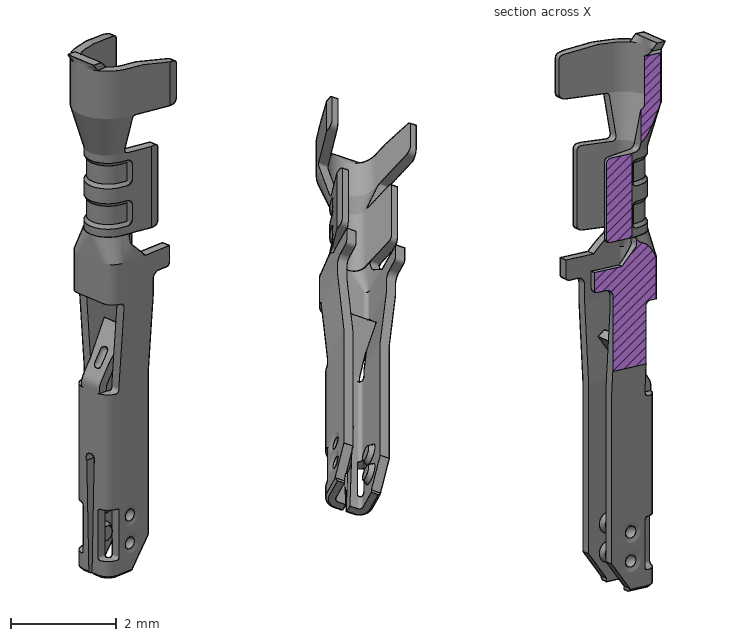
import cadquery as cq
import math

SHEET = 0.19
TALL = 3.0
CLEAR = 2.0

Z_NOSE_START = 0.07
Z_NOSE_END = 0.64
Z_FLOOR_END = 3.83
Z_CONTACT = 4.05
Z_BEAM = 5.64
Z_BOX_FLOOR = 5.74
Z_STOP_LOW = 6.13
Z_STOP_TOP = 6.55
Z_BOX = 6.58
Z_NECK = 6.89
Z_WIRE_LOW = 7.07
Z_WIRE_TOP = 8.76
Z_INS_LOW = 9.64
Z_INS_TOP = 10.64
Z_END = 10.78

CORNER = 0.27
BOX_HALF = 0.60
CONTACT_HALF = 0.47
BOX = {"bottom": 0.0, "flat": BOX_HALF - CORNER, "radius": CORNER, "angle": 0.0}
CONTACT = {"bottom": 0.0, "flat": CONTACT_HALF - CORNER, "radius": CORNER, "angle": 0.0}
ARM_ANGLE = 12.5
WIRE = {"bottom": 0.01, "flat": 0.0, "radius": 0.46, "angle": ARM_ANGLE}
WIRE_SPLIT = dict(WIRE, flat=0.01)
INSULATION = {"bottom": -0.255, "flat": 0.0, "radius": 0.705, "angle": ARM_ANGLE}

Y_WALL_LOW = 0.30
Y_WALL = 1.08
Y_NOSE = 0.66
Y_STOP = 1.515
Y_NECK = 0.53
Y_NECK_LOW_END = 0.87
Y_WIRE = 1.235
Y_FUNNEL = 0.43
Y_INS_SLOPE = 0.65
Y_INS = 1.435
INS_SLOPE_DROP = 0.12

BEVEL_LENGTH = 0.2
BEVEL_DEPTH = 0.07

GROOVE_CENTERS = (7.5, 8.34)
GROOVE_WIDTH = 0.53
GROOVE_RAMP = 0.075
GROOVE_DEPTH = 0.05
GROOVE_TOP = 0.62
GROOVE_CORNER = 0.12

TIP_CHAMFER = 0.05
WINDOW_LOW = 0.365
WINDOW_TOP = 1.43
WINDOW_ROUND = 0.06
FLOOR_WINDOW_ROUND = 0.09
KEYHOLE_RADIUS = 0.115
KEYHOLE_Z = 2.40
SLOT_HALF_TOP = 0.10
SLOT_HALF_TIP = 0.042
DIMPLE_Y = 0.615
DIMPLE_CENTERS = (0.60, 1.18)
DIMPLE_RIM = 0.215
DIMPLE_RADIUS = 0.12
DIMPLE_RIM_DEPTH = 0.03
BUMP_RADIUS = 0.15
BUMP_HEIGHT = 0.10

LANCE_HALF_ROOT = 0.24
LANCE_HALF_END = 0.315
LANCE_BEND_Z = 4.00
LANCE_TAPER_Z = 4.37
LANCE_END_Z = 5.03
LANCE_ANGLE = 33.5
LANCE_BEND_RADIUS = 0.28
POCKET_WIDTH = 0.18
POCKET_LENGTH = 0.44
POCKET_Z = 4.425

TAB_HALF = 0.35


def inset(section, depth):
    """The same section moved inwards by a depth."""
    return dict(section, bottom=section["bottom"] + depth, radius=section["radius"] - depth)


def tangent_point(section):
    """Where the arc meets the straight arm."""
    tilt = math.radians(section["angle"])
    x = section["flat"] + section["radius"] * math.cos(tilt)
    y = section["bottom"] + section["radius"] * (1 - math.sin(tilt))
    return x, y


def arm_x(section, y):
    """X of the straight arm's face at height y."""
    x0, y0 = tangent_point(section)
    return x0 + (y - y0) * math.tan(math.radians(section["angle"]))


def trough(plane, section):
    """Closed U outline on a workplane normal to Z."""
    flat, bottom, radius = section["flat"], section["bottom"], section["radius"]
    x, y = tangent_point(section)
    tip = arm_x(section, TALL)
    outline = plane.moveTo(tip, TALL).lineTo(x, y)
    if flat == 0:
        outline = outline.threePointArc((0, bottom), (-x, y))
    else:
        middle = math.radians(45 + section["angle"] / 2)
        mid_x = flat + radius * math.cos(middle)
        mid_y = bottom + radius * (1 - math.sin(middle))
        outline = outline.threePointArc((mid_x, mid_y), (flat, bottom)).lineTo(-flat, bottom)
        outline = outline.threePointArc((-mid_x, mid_y), (-x, y))
    return outline.lineTo(-tip, TALL).close()


def at_z(z):
    return cq.Workplane("XY").workplane(offset=z)


def solid_trough(section, low, high):
    return trough(at_z(low), section).extrude(high - low)


def solid_loft(low_section, high_section, low, high):
    plane = trough(at_z(low), low_section).workplane(offset=high - low)
    return trough(plane, high_section).loft(ruled=True)


def channel(section, low, high):
    """Bent sheet of constant section."""
    return solid_trough(section, low, high).cut(solid_trough(inset(section, SHEET), low, high))


def lofted_channel(low_section, high_section, low, high):
    """Bent sheet changing from one section to another."""
    outside = solid_loft(low_section, high_section, low, high)
    return outside.cut(solid_loft(inset(low_section, SHEET), inset(high_section, SHEET), low, high))


def block(x, y, z):
    """Box from (low, high) pairs."""
    size = (x[1] - x[0], y[1] - y[0], z[1] - z[0])
    return cq.Workplane("XY").box(*size, centered=False).translate((x[0], y[0], z[0]))


def both_sides(body):
    return body.union(body.mirror("YZ"))


def side_prism(points, half_width):
    """Outline in (Y, Z) spread evenly about X = 0."""
    return cq.Workplane("YZ").polyline(points).close().extrude(half_width, both=True)


def rounded(prism, y, z, radius):
    """Round the edge of a side prism that passes (y, z)."""
    edge = prism.edges("|X").edges(cq.NearestToPointSelector((0, y, z)))
    return edge.fillet(radius)


def side_outline():
    """Everything the arms may reach, as seen along X."""
    below = -CLEAR
    shoulder_z = Z_INS_TOP - INS_SLOPE_DROP
    prism = side_prism(
        [
            (below, 0), (Y_NOSE, 0), (Y_NOSE, Z_NOSE_START), (Y_WALL, Z_NOSE_END),
            (Y_WALL, Z_STOP_LOW), (Y_STOP, Z_STOP_LOW), (Y_STOP, Z_STOP_TOP),
            (Y_NECK_LOW_END, Z_STOP_TOP), (Y_NECK, Z_NECK), (Y_NECK, Z_WIRE_LOW),
            (Y_WIRE, Z_WIRE_LOW), (Y_WIRE, Z_WIRE_TOP), (Y_FUNNEL, Z_WIRE_TOP),
            (Y_FUNNEL, Z_INS_LOW), (Y_INS, Z_INS_LOW), (Y_INS, shoulder_z),
            (Y_INS_SLOPE, Z_INS_TOP), (below, Z_INS_TOP),
        ],
        CLEAR,
    )
    corners = [
        (Y_WALL, Z_STOP_LOW, 0.15), (Y_STOP, Z_STOP_LOW, 0.08), (Y_NECK, Z_NECK, 0.1),
        (Y_NECK, Z_WIRE_LOW, 0.05), (Y_WIRE, Z_WIRE_LOW, 0.1), (Y_WIRE, Z_WIRE_TOP, 0.1),
        (Y_FUNNEL, Z_WIRE_TOP, 0.1), (Y_FUNNEL, Z_INS_LOW, 0.05), (Y_INS, Z_INS_LOW, 0.12),
        (Y_INS, shoulder_z, 0.1),
    ]
    for y, z, radius in corners:
        prism = rounded(prism, y, z, radius)
    return prism


def tip_bevels(section, top, low, high):
    """Wedges that thin the outer face of both arm tips."""
    start = top - BEVEL_LENGTH
    points = [
        (arm_x(section, start), start), (arm_x(section, top) - BEVEL_DEPTH, top),
        (CLEAR, top), (CLEAR, start),
    ]
    return both_sides(at_z(low).polyline(points).close().extrude(high - low))


def groove_core(plane, depth):
    """Wire barrel outline pressed in by a depth, ramping back to the skin at the groove's end."""
    pressed = inset(WIRE, depth)
    x, y = tangent_point(pressed)
    ramp_y = GROOVE_TOP - GROOVE_RAMP
    half = [
        (arm_x(WIRE, TALL), TALL), (arm_x(WIRE, GROOVE_TOP), GROOVE_TOP),
        (arm_x(pressed, ramp_y), ramp_y), (x, y),
    ]
    mirrored = [(-px, py) for px, py in reversed(half)]
    outline = plane.polyline(half).threePointArc((0, pressed["bottom"]), (-x, y))
    for point in mirrored[1:]:
        outline = outline.lineTo(*point)
    return outline.close()


def groove(center):
    """Shallow band with ramped walls, pressed into the outside of the wire barrel."""
    half = GROOVE_WIDTH / 2
    low, high = center - half, center + half
    floor_low, floor_high = low + GROOVE_RAMP, high - GROOVE_RAMP
    core = groove_core(at_z(floor_low), GROOVE_DEPTH).extrude(floor_high - floor_low)
    for edge_z, floor_z in ((low, floor_low), (high, floor_high)):
        plane = groove_core(at_z(edge_z), 0).workplane(offset=floor_z - edge_z)
        core = core.union(groove_core(plane, GROOVE_DEPTH).loft(ruled=True))
    band = side_prism([(-CLEAR, low), (GROOVE_TOP, low), (GROOVE_TOP, high), (-CLEAR, high)], CLEAR)
    for z in (low, high):
        band = rounded(band, GROOVE_TOP, z, GROOVE_CORNER)
    return band.cut(core)


def wire_barrel():
    barrel = channel(WIRE, Z_WIRE_LOW, Z_WIRE_TOP)
    barrel = barrel.cut(tip_bevels(WIRE, Y_WIRE, Z_WIRE_LOW, Z_WIRE_TOP))
    for center in GROOVE_CENTERS:
        barrel = barrel.cut(groove(center))
    return barrel


def insulation_barrel():
    barrel = channel(INSULATION, Z_INS_LOW, Z_INS_TOP)
    return barrel.cut(tip_bevels(INSULATION, Y_INS, Z_INS_LOW, Z_INS_TOP))


def cutoff_tab():
    """Short tab that flattens from the barrel's arc to a plain rectangle."""
    bottom, radius = INSULATION["bottom"], INSULATION["radius"]
    center = bottom + radius
    inner = radius - SHEET
    outer_y = center - math.sqrt(radius**2 - TAB_HALF**2)
    inner_y = center - math.sqrt(inner**2 - TAB_HALF**2)
    root = (
        at_z(Z_INS_TOP)
        .moveTo(-TAB_HALF, outer_y)
        .threePointArc((0, bottom), (TAB_HALF, outer_y))
        .lineTo(TAB_HALF, inner_y)
        .threePointArc((0, bottom + SHEET), (-TAB_HALF, inner_y))
        .close()
    )
    end = root.workplane(offset=Z_END - Z_INS_TOP)
    end = end.moveTo(-TAB_HALF, bottom).lineTo(TAB_HALF, bottom)
    end = end.lineTo(TAB_HALF, bottom + SHEET).lineTo(-TAB_HALF, bottom + SHEET).close()
    return end.loft(ruled=True)


def floor_window():
    """Opening in the floor from the contact section to the box section."""
    window = block((-CLEAR, CLEAR), (-CLEAR, Y_WALL_LOW), (Z_FLOOR_END, Z_BOX_FLOOR))
    return window.edges("|X and >Y").fillet(FLOOR_WINDOW_ROUND)


def box_section():
    return channel(BOX, Z_BEAM, Z_BOX).cut(floor_window())


def beams():
    """Walls converging from the box section to the contact section."""
    points = [
        (CONTACT_HALF, Z_CONTACT), (BOX_HALF, Z_BEAM),
        (BOX_HALF - SHEET, Z_BEAM), (CONTACT_HALF - SHEET, Z_CONTACT),
    ]
    beam = cq.Workplane("XZ", origin=(0, Y_WALL_LOW, 0)).polyline(points).close()
    return both_sides(beam.extrude(Y_WALL_LOW - Y_WALL))


def corner_window():
    """Opening through the bent corner, with rounded ends in the wall and in the floor."""
    flat = CONTACT["flat"]
    window = block((flat, CLEAR), (-CLEAR, Y_WALL_LOW), (WINDOW_LOW, WINDOW_TOP))
    window = window.edges("|X and >Y").fillet(WINDOW_ROUND)
    return both_sides(window.edges("|Y and <X").fillet(WINDOW_ROUND))


def keyhole_slot():
    """Slot splitting the floor, closing towards the tip and ending in a round hole."""
    points = [
        (SLOT_HALF_TIP, 0), (SLOT_HALF_TOP, KEYHOLE_Z),
        (-SLOT_HALF_TOP, KEYHOLE_Z), (-SLOT_HALF_TIP, 0),
    ]
    cut_depth = 1.5 * SHEET
    slot = cq.Workplane("XZ").polyline(points).close().extrude(-cut_depth)
    hole = cq.Workplane("XZ").center(0, KEYHOLE_Z).circle(KEYHOLE_RADIUS).extrude(-cut_depth)
    return slot.union(hole)


def turned_in_wall(profile, z):
    """Outline of (radius, depth below the outer wall face) turned about a dimple axis."""
    turned = profile.close().revolve(360, (0, 0), (0, 1)).rotate((0, 0, 0), (0, 0, 1), 90)
    return both_sides(turned.translate((CONTACT_HALF, DIMPLE_Y, z)))


def bump(z):
    """Contact point standing out of the inner wall face."""
    top = SHEET + BUMP_HEIGHT
    points = [(0, 0), (DIMPLE_RIM, 0), (DIMPLE_RIM, SHEET), (BUMP_RADIUS, top), (0, top)]
    return turned_in_wall(cq.Workplane("XY").polyline(points), z)


def dimple(z):
    """Conical rim and round bottom pressed into the outer wall face."""
    points = [(0, 0), (DIMPLE_RIM, 0), (DIMPLE_RADIUS, DIMPLE_RIM_DEPTH)]
    arc_middle = DIMPLE_RADIUS * math.sqrt(0.5)
    middle_depth = DIMPLE_RIM_DEPTH + arc_middle
    bottom = (0, DIMPLE_RIM_DEPTH + DIMPLE_RADIUS)
    profile = cq.Workplane("XY").polyline(points).threePointArc((arc_middle, middle_depth), bottom)
    return turned_in_wall(profile, z)


def contact_section():
    outside = solid_trough(CONTACT, 0, Z_CONTACT).faces("<Z").chamfer(TIP_CHAMFER)
    contact = outside.cut(solid_trough(inset(CONTACT, SHEET), 0, Z_CONTACT))
    contact = contact.cut(floor_window()).cut(corner_window()).cut(keyhole_slot())
    for z in DIMPLE_CENTERS:
        contact = contact.union(bump(z)).cut(dimple(z))
    return contact


def lance():
    """Spring tongue continuing the contact floor and leaning into the terminal."""
    tilt = math.radians(LANCE_ANGLE)
    rise = LANCE_END_Z - LANCE_BEND_Z
    end_y = rise * math.tan(tilt)
    inner_end = (end_y + SHEET * math.cos(tilt), LANCE_END_Z - SHEET * math.sin(tilt))
    inner_bend_z = LANCE_BEND_Z - SHEET * math.tan(tilt / 2)
    tongue = side_prism(
        [
            (0, Z_FLOOR_END), (0, LANCE_BEND_Z), (end_y, LANCE_END_Z), inner_end,
            (SHEET, inner_bend_z), (SHEET, Z_FLOOR_END),
        ],
        LANCE_HALF_END,
    )
    tongue = rounded(tongue, 0, LANCE_BEND_Z, LANCE_BEND_RADIUS)
    tongue = rounded(tongue, SHEET, inner_bend_z, LANCE_BEND_RADIUS - SHEET)
    half = [
        (LANCE_HALF_ROOT, Z_FLOOR_END), (LANCE_HALF_ROOT, LANCE_TAPER_Z),
        (LANCE_HALF_END, LANCE_END_Z),
    ]
    mirrored = [(-x, z) for x, z in reversed(half)]
    tongue = tongue.intersect(cq.Workplane("XZ").polyline(half + mirrored).close().extrude(-CLEAR))
    pocket_y = (POCKET_Z - LANCE_BEND_Z) * math.tan(tilt)
    face = cq.Plane(
        origin=(0, pocket_y, POCKET_Z), xDir=(1, 0, 0), normal=(0, -math.cos(tilt), math.sin(tilt))
    )
    radius = POCKET_WIDTH / 2
    straight = POCKET_LENGTH / 2 - radius
    slant = radius * math.sqrt(0.5)
    capsule = (
        cq.Workplane(face)
        .moveTo(0, -straight - radius)
        .threePointArc((slant, -straight - slant), (radius, -straight))
        .lineTo(radius, straight)
        .threePointArc((slant, straight + slant), (0, straight + radius))
        .close()
        .revolve(360, (0, 0), (0, 1))
    )
    return tongue.cut(capsule)


def terminal():
    body = contact_section().union(beams()).union(box_section())
    body = body.union(lofted_channel(BOX, WIRE_SPLIT, Z_BOX, Z_WIRE_LOW))
    body = body.union(wire_barrel())
    body = body.union(lofted_channel(WIRE, INSULATION, Z_WIRE_TOP, Z_INS_LOW))
    body = body.union(insulation_barrel())
    return body.intersect(side_outline()).union(lance()).union(cutoff_tab())


result = terminal()